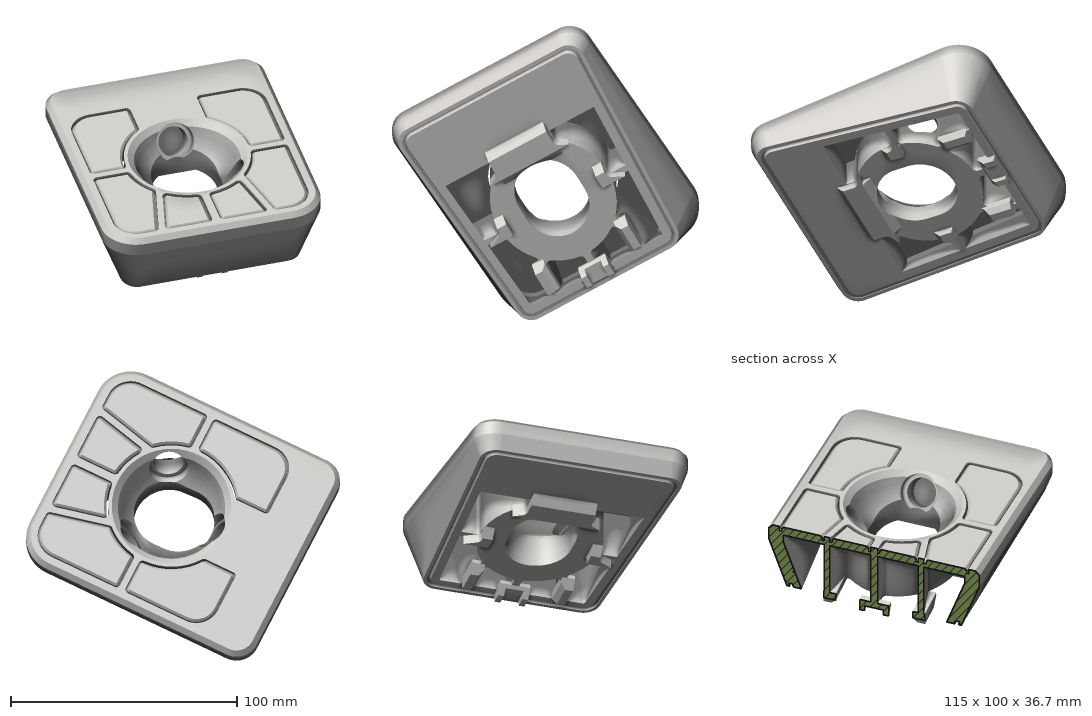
import cadquery as cq
import math

LENGTH = 115.0
WIDTH = 100.0
TOTAL_HEIGHT = 36.7

FRONT_CORNER_RADIUS = 10.0
BACK_CORNER_RADIUS = 16.1
TOP_CHAMFER = 2.2
BAND_HEIGHT = 8.0
DRAFTED_DEPTH = 33.8
DRAFT = math.radians(20)
BOTTOM_TILT = math.radians(10)
BOTTOM_Z_AT_CENTRE = -24.7
MIN_CORNER_RADIUS = 0.3
SEAL_GROOVE_WIDTH = 1.6
SEAL_GROOVE_INSET = 1.6
SEAL_GROOVE_DEPTH = 1.6

BOWL_X = 4.5
BOWL_RIM_RADIUS = 26.5
BOWL_MOUTH_RADIUS = 23.7
BOWL_RIM_DEPTH = 2.4
SPHERE_RADIUS = 24.6
SLOT_LENGTH = 36.3
SLOT_WIDTH = 29.9
SLOT_X = 3.2

SIDE_HOLE_ANGLES = (60, 180, 300)
SIDE_HOLE_DIP = math.radians(31)
SIDE_HOLE_DIAMETER = 17.4
SIDE_HOLE_INNER_DIAMETER = 13.5
SIDE_HOLE_STEP_DEPTH = 2.3
SIDE_HOLE_DEPTH = 11.5

PAD_X_MIN = -35.4
PAD_X_MAX = 52.4
PAD_Y_MAX = 44.7
FRONT_PAD_Y_MIN = 15.3
CROSS_RIB_X = 7.1
RIB_WIDTH = 2.8
MIDDLE_RIB_WIDTH = 3.5
SLANTED_RIB_ANGLE = math.radians(13.2)
SLANTED_RIB_Y_AT_BOWL = 14.0
HUB_RADIUS = 28.1
PAD_LARGE_RADIUS = 10.8
PAD_SMALL_RADIUS = 2.0
PAD_GAP = 0.8
PAD_GAP_DEPTH = 2.3
PAD_CHAMFER = 1.0
PAD_THICKNESS = 4.6
CAVITY_WALL = 7.1
CAVITY_X_MIN = -24.2

HOOK_RAMP = 3.7
HOOK_ROOT = 1.7
FRONT_HOOK_X = (-29.1, -12.3)
FRONT_HOOK_WIDTH = 29.9
CROSS_RIB_HOOK_X = (-0.7, 8.7)
CROSS_RIB_HOOK_Y = (23.1, 27.7)
WING_FILLET_DIAMETER = 6.0
WING_ANGLE = math.radians(65)
FRONT_WING_X = (-20.8, -16.3)
CROSS_RIB_WING_X = (3.1, 8.3)
SLANTED_RIB_HOOK_X = (25.6, 40.0)
SLANTED_RIB_HOOK_Y = (18.2, 24.0)
SLANTED_RIB_HOOK_CHAMFER = 2.2
BACK_HOOK_X = (36.8, 45.4)
BACK_HOOK_WIDTH = 14.0
BACK_HOOK_WINDOW = 8.5
BACK_HOOK_BAR = 1.4

bottom_slope = math.tan(BOTTOM_TILT)
sphere_z = math.sqrt(SPHERE_RADIUS**2 - BOWL_MOUTH_RADIUS**2) - BOWL_RIM_DEPTH
hook_end_z = BOTTOM_Z_AT_CENTRE - BACK_HOOK_X[1] * bottom_slope
hook_height = (TOTAL_HEIGHT + hook_end_z) / math.cos(BOTTOM_TILT)

tilted_side = cq.Plane(
    origin=(0, 0, BOTTOM_Z_AT_CENTRE),
    xDir=(math.cos(BOTTOM_TILT), 0, -math.sin(BOTTOM_TILT)),
    normal=(0, -1, 0),
)


def rounded_plan(z, inset):
    """Rounded rectangle of the body at height z, moved inwards by inset."""
    front = max(FRONT_CORNER_RADIUS - inset, MIN_CORNER_RADIUS)
    back = max(BACK_CORNER_RADIUS - inset, MIN_CORNER_RADIUS)
    x = LENGTH / 2 - inset
    y = WIDTH / 2 - inset
    front_diagonal = front * (1 - math.sqrt(0.5))
    back_diagonal = back * (1 - math.sqrt(0.5))
    return (
        cq.Workplane("XY", origin=(0, 0, z))
        .moveTo(-x + front, -y)
        .lineTo(x - back, -y)
        .threePointArc((x - back_diagonal, -y + back_diagonal), (x, -y + back))
        .lineTo(x, y - back)
        .threePointArc((x - back_diagonal, y - back_diagonal), (x - back, y))
        .lineTo(-x + front, y)
        .threePointArc((-x + front_diagonal, y - front_diagonal), (-x, y - front))
        .lineTo(-x, -y + front)
        .threePointArc((-x + front_diagonal, -y + front_diagonal), (-x + front, -y))
        .close()
    )


def drafted_block(inset):
    """Tapering lower body, moved inwards by inset, before the tilted bottom is cut."""
    draft_inset = (DRAFTED_DEPTH - BAND_HEIGHT) * math.tan(DRAFT)
    upper = rounded_plan(-BAND_HEIGHT, inset).wires().val()
    lower = rounded_plan(-DRAFTED_DEPTH, inset + draft_inset).wires().val()
    return cq.Workplane(cq.Solid.makeLoft([upper, lower], True))


def layer(bottom, top):
    """Slab parallel to the tilted bottom, between two distances above it."""
    return (
        cq.Workplane(tilted_side)
        .moveTo(0, (bottom + top) / 2)
        .rect(2 * LENGTH, top - bottom)
        .extrude(WIDTH, both=True)
    )


def outer_body():
    """Chamfered band over a drafted wedge, with a groove around its tilted bottom."""
    band = rounded_plan(-BAND_HEIGHT, 0).extrude(BAND_HEIGHT).faces(">Z").chamfer(TOP_CHAMFER)
    body = band.union(drafted_block(0)).cut(layer(-TOTAL_HEIGHT, 0))
    ring = drafted_block(SEAL_GROOVE_INSET).cut(drafted_block(SEAL_GROOVE_INSET + SEAL_GROOVE_WIDTH))
    return body.cut(ring.intersect(layer(0, SEAL_GROOVE_DEPTH)))


def slanted_rib_y(x, side):
    """Y of the upper (side = 1) or lower (side = -1) edge of the slanted rib."""
    middle = SLANTED_RIB_Y_AT_BOWL + (x - BOWL_X) * math.tan(SLANTED_RIB_ANGLE)
    return middle + side * RIB_WIDTH / 2 / math.cos(SLANTED_RIB_ANGLE)


def hub(radius):
    """Full-height cylinder around the bowl axis."""
    return cq.Workplane("XY").center(BOWL_X, 0).circle(radius).extrude(-TOTAL_HEIGHT)


def pad_core(points, large_corner=None):
    """Outline of one pad, moved inwards by the small corner radius, as a wire at Z = 0."""
    column = cq.Workplane("XY").polyline(points).close().extrude(-TOTAL_HEIGHT)
    if large_corner:
        corner_edge = cq.NearestToPointSelector((*large_corner, -TOTAL_HEIGHT / 2))
        column = column.edges("|Z").edges(corner_edge).fillet(PAD_LARGE_RADIUS)
    top_outline = column.cut(hub(HUB_RADIUS)).faces(">Z").wires().val()
    return cq.Workplane("XY").add(top_outline).toPending().offset2D(-PAD_SMALL_RADIUS).wires().val()


def pad_column(core, inset, top, bottom):
    """Column between two heights with the rounded outline of a pad, moved inwards by inset."""
    outline = cq.Workplane("XY").add(core).toPending().offset2D(PAD_SMALL_RADIUS - inset)
    return outline.extrude(bottom - top).translate((0, 0, top))


def pad_cores():
    """Outlines of the three pads on the +Y side."""
    cross_rib_front = CROSS_RIB_X - RIB_WIDTH / 2
    cross_rib_back = CROSS_RIB_X + RIB_WIDTH / 2
    front_pad = [
        (PAD_X_MIN, PAD_Y_MAX),
        (cross_rib_front, PAD_Y_MAX),
        (cross_rib_front, FRONT_PAD_Y_MIN),
        (PAD_X_MIN, FRONT_PAD_Y_MIN),
    ]
    corner_pad = [
        (PAD_X_MAX, PAD_Y_MAX),
        (cross_rib_back, PAD_Y_MAX),
        (cross_rib_back, slanted_rib_y(cross_rib_back, 1)),
        (PAD_X_MAX, slanted_rib_y(PAD_X_MAX, 1)),
    ]
    back_pad = [
        (BOWL_X, MIDDLE_RIB_WIDTH / 2),
        (BOWL_X, slanted_rib_y(BOWL_X, -1)),
        (PAD_X_MAX, slanted_rib_y(PAD_X_MAX, -1)),
        (PAD_X_MAX, MIDDLE_RIB_WIDTH / 2),
    ]
    return [
        pad_core(front_pad, front_pad[0]),
        pad_core(corner_pad, corner_pad[0]),
        pad_core(back_pad),
    ]


def pad_cut(core, cavity_limit):
    """Gap around one pad, slit along the hub and cavity below; the pad edge is chamfered."""
    pad = pad_column(core, PAD_GAP, 0, -PAD_GAP_DEPTH).faces(">Z").chamfer(PAD_CHAMFER)
    gap = pad_column(core, 0, 0, -PAD_GAP_DEPTH).cut(pad)
    slit = pad_column(core, 0, 0, -PAD_THICKNESS).intersect(hub(HUB_RADIUS + PAD_GAP))
    cavity = pad_column(core, 0, -PAD_THICKNESS, -TOTAL_HEIGHT).intersect(cavity_limit)
    return gap.union(slit.cut(pad)).union(cavity)


def cut_pads(body):
    """Cut the gaps and cavities of all six pads, mirrored about the XZ plane."""
    behind_front_plate = cq.Workplane("XY").box(
        LENGTH, WIDTH, 2 * TOTAL_HEIGHT, centered=(False, True, True)
    ).translate((CAVITY_X_MIN, 0, 0))
    upper = rounded_plan(-BAND_HEIGHT, CAVITY_WALL).extrude(BAND_HEIGHT)
    cavity_limit = upper.union(drafted_block(CAVITY_WALL)).intersect(behind_front_plate)
    for core in pad_cores():
        cut = pad_cut(core, cavity_limit)
        body = body.cut(cut).cut(cut.mirror("XZ"))
    return body


def bowl():
    """Sphere with a conical rim, cut off at the top face."""
    sphere = cq.Workplane("XY").sphere(SPHERE_RADIUS).translate((BOWL_X, 0, sphere_z))
    below_rim = cq.Workplane("XY").box(
        LENGTH, WIDTH, TOTAL_HEIGHT, centered=(True, True, False)
    ).translate((0, 0, -BOWL_RIM_DEPTH - TOTAL_HEIGHT))
    rim = (
        cq.Workplane("XY")
        .center(BOWL_X, 0)
        .circle(BOWL_RIM_RADIUS)
        .workplane(offset=-BOWL_RIM_DEPTH)
        .circle(BOWL_MOUTH_RADIUS)
        .loft()
    )
    return sphere.intersect(below_rim).union(rim)


def floor_slot():
    """Vertical slot from the bowl to below the bottom."""
    return (
        cq.Workplane("XY", origin=(SLOT_X, 0, -2 * TOTAL_HEIGHT))
        .slot2D(SLOT_LENGTH, SLOT_WIDTH)
        .extrude(2 * TOTAL_HEIGHT - BOWL_RIM_DEPTH)
    )


def side_hole(angle):
    """Stepped hole that leaves the sphere outwards and downwards."""
    direction = cq.Vector(
        math.cos(SIDE_HOLE_DIP) * math.cos(math.radians(angle)),
        math.cos(SIDE_HOLE_DIP) * math.sin(math.radians(angle)),
        -math.sin(SIDE_HOLE_DIP),
    )
    start_distance = SPHERE_RADIUS - SIDE_HOLE_STEP_DEPTH
    start = cq.Vector(BOWL_X, 0, sphere_z) + direction * start_distance
    wide = cq.Solid.makeCylinder(SIDE_HOLE_DIAMETER / 2, 2 * SIDE_HOLE_STEP_DEPTH, start, direction)
    narrow = cq.Solid.makeCylinder(
        SIDE_HOLE_INNER_DIAMETER / 2, SIDE_HOLE_STEP_DEPTH + SIDE_HOLE_DEPTH, start, direction
    )
    return cq.Workplane(wide).union(cq.Workplane(narrow))


def hook(x_range, y_range, ramp_both_ends=False):
    """Bar below the tilted bottom with a ramp at its front end, or at both ends."""
    start, end = (x / math.cos(BOTTOM_TILT) for x in x_range)
    end_ramp = HOOK_RAMP if ramp_both_ends else 0
    profile = [
        (start, 0),
        (start + HOOK_RAMP, -hook_height),
        (end - end_ramp, -hook_height),
        (end, 0),
        (end, HOOK_ROOT),
        (start, HOOK_ROOT),
    ]
    width = y_range[1] - y_range[0]
    bar = cq.Workplane(tilted_side).polyline(profile).close().extrude(-width)
    return bar.translate((0, y_range[0], 0))


def wing(x_range, hook_y):
    """Flare on the outer side of a hook, led in by a concave fillet."""
    radius = WING_FILLET_DIAMETER / 2
    start, end = x_range
    inner_y, outer_y = hook_y
    arc_middle_x = start + radius * math.sin(WING_ANGLE / 2)
    arc_middle_y = outer_y + radius * (1 - math.cos(WING_ANGLE / 2))
    arc_end_x = start + radius * math.sin(WING_ANGLE)
    arc_end_y = outer_y + radius * (1 - math.cos(WING_ANGLE))
    tip_y = arc_end_y + (end - arc_end_x) * math.tan(WING_ANGLE)
    plan = (
        cq.Workplane("XY")
        .moveTo(start, inner_y)
        .lineTo(start, outer_y)
        .threePointArc((arc_middle_x, arc_middle_y), (arc_end_x, arc_end_y))
        .lineTo(end, tip_y)
        .lineTo(end, inner_y)
        .close()
    )
    return plan.extrude(-2 * TOTAL_HEIGHT).intersect(layer(-hook_height, HOOK_ROOT))


def slanted_rib_hook():
    """Hook below the slanted rib, chamfered along its inner lower edge."""
    bar = hook(SLANTED_RIB_HOOK_X, SLANTED_RIB_HOOK_Y)
    inner_edge = bar.faces("<Y").edges("<Z")
    return inner_edge.chamfer(SLANTED_RIB_HOOK_CHAMFER)


def back_hook():
    """Arch with two legs joined by a thin bar across the middle rib."""
    half_width = BACK_HOOK_WIDTH / 2
    half_window = BACK_HOOK_WINDOW / 2
    arch = hook(BACK_HOOK_X, (-half_width, half_width))
    window = layer(-TOTAL_HEIGHT, -BACK_HOOK_BAR).intersect(
        cq.Workplane("XY").box(2 * LENGTH, 2 * half_window, 4 * TOTAL_HEIGHT)
    )
    return arch.cut(window)


def hooks():
    """Hook below the front plate, hook pairs below the ribs and the arched back hook."""
    cross_rib = hook(CROSS_RIB_HOOK_X, CROSS_RIB_HOOK_Y).union(wing(CROSS_RIB_WING_X, CROSS_RIB_HOOK_Y))
    front_y = (-FRONT_HOOK_WIDTH / 2, FRONT_HOOK_WIDTH / 2)
    front = hook(FRONT_HOOK_X, front_y, ramp_both_ends=True)
    front_wing = wing(FRONT_WING_X, (0, FRONT_HOOK_WIDTH / 2))
    paired = cross_rib.union(slanted_rib_hook()).union(front_wing)
    return front.union(paired).union(paired.mirror("XZ")).union(back_hook())


body = cut_pads(outer_body()).union(hooks())
body = body.cut(bowl()).cut(floor_slot())
for hole_angle in SIDE_HOLE_ANGLES:
    body = body.cut(side_hole(hole_angle))
result = body